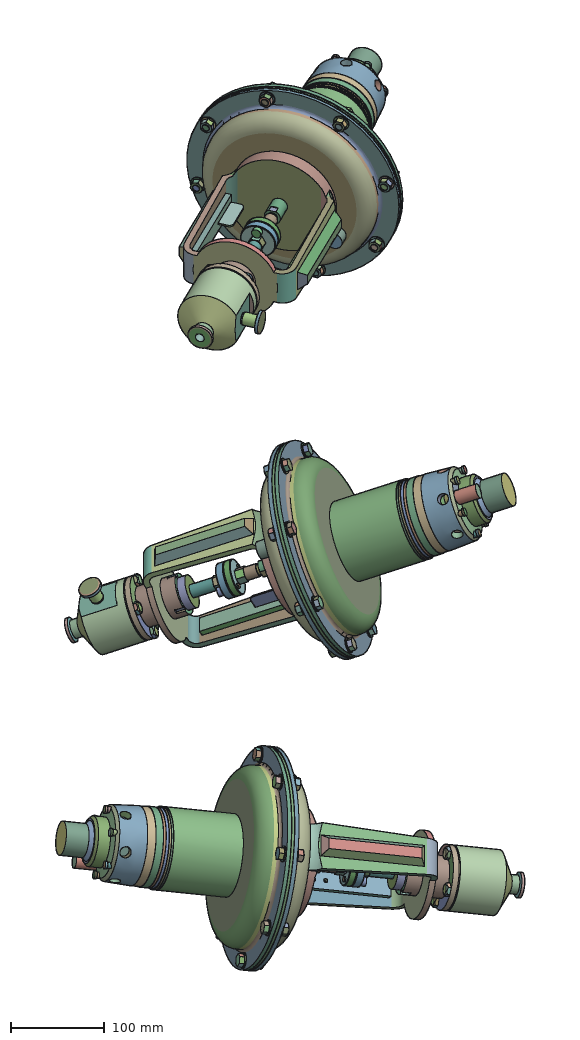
import cadquery as cq
import math


flange_radius = 120.65
flange_half_thickness = 6.35
joint_gap = 3.4
joint_gap_depth = 1.0
casing_radius = 99.0
casing_half_height = 31.3
dome_edge_radius = 17.0
flange_fillet = 3.4

bolt_count = 8
bolt_first_angle = 15.0
bolt_circle_radius = 110.7
bolt_hex_across_flats = 12.7
bolt_washer_radius = 8.6
bolt_washer_thickness = 1.3
bolt_head_height = 5.6
nut_height = 6.8
nut_chamfer = 0.8
bolt_end_radius = 4.0
bolt_end_length = 1.0

housing_radius = 45.0
housing_top_y = 109.5
seam_width = 2.4
seam_depth = 1.0
collar_height = 2.6
cap_base_radius = 43.7
cap_groove_y = 117.6
cap_groove_width = 3.0
cap_groove_depth = 0.6
cap_band_bottom_y = 129.0
cap_band_top_y = 138.4
cap_band_depth = 0.6
cap_taper_base_radius = 43.3
cap_top_radius = 41.5
cap_top_y = 172.8
cap_top_chamfer = 3.5
cap_top_rise = 2.2
cap_hole_radius = 6.1
cap_hole_depth = 8.0
cap_hole_count = 6
cap_hole_y = 161.0

hub_radius = 27.4
hub_top_y = 191.5
hub_edge_chamfer = 3.0
neck_foot_radius = 22.0
neck_radius = 18.5
neck_foot_y = 196.2
neck_top_y = 221.7
vent_radius = 8.0
vent_distance = 30.0
vent_top_y = 198.1
vent_angle = -30.0

cap_screw_count = 6
cap_screw_circle_radius = 36.0
cap_screw_head_radius = 4.4
cap_screw_head_height = 2.6
cap_screw_shank_radius = 3.5
cap_screw_grip = 3.0
cap_screw_top_y = 178.8

base_disc_radius = 59.0
base_face_y = -47.7
inlet_radius = 9.8
inlet_distance = 69.4
inlet_angle = -30.0
inlet_end_y = -44.3
leg_outer_x = 63.6
leg_inner_x = 57.0
leg_top_y = -36.5
leg_root_fillet = 17.0
leg_root_step = 0.8
leg_top_half_width = 26.0
leg_bottom_half_width = 19.6
yoke_plate_top_y = -178.8
yoke_plate_thickness = 6.8
yoke_plate_radius = 48.0
yoke_inner_corner = 9.4

rib_top_y = -49.9
rib_bottom_y = -166.5
rib_half_width = 11.8
rib_height = 9.6
rib_slope = 5.9
inner_rib_top_y = -59.8
inner_rib_bottom_y = -166.7
inner_rib_height = 6.6
inner_rib_half_width = 10.0
rib_hole_radius = 2.2
rib_hole_depth = 6.0
rib_hole_ys = (-79.5, -93.0, -111.7)

scale_top_y = -61.4
scale_length = 39.5
scale_reach = 16.0
scale_thickness = 2.0
scale_corner = 5.0

upper_stem_radius = 9.1
upper_stem_end_y = -70.1
wrench_flat_length = 6.8
wrench_flat_distance = 8.1
stem_neck_radius = 5.9
stem_neck_end_y = -73.7
stem_radius = 7.4
coupling_top_y = -97.9
coupling_joint_y = -106.1
coupling_bottom_y = -115.3
coupling_radius = 20.0
coupling_edge_chamfer = 0.8
locknut_across_corners = 18.2
upper_locknut_height = 10.1
lower_locknut_height = 9.0
coupling_screw_offset = 13.8
coupling_screw_head_radius = 5.3
coupling_screw_head_height = 5.4
coupling_screw_end_radius = 3.0
coupling_screw_end_length = 1.5

gland_radius = 18.5
gland_top_y = -151.9
bonnet_radius = 23.0
bonnet_top_y = -161.3
bonnet_slot_count = 3
bonnet_slot_angle = 30.0
bonnet_slot_width = 6.0
bonnet_slot_depth = 3.0
bonnet_slot_height = 10.0
valve_radius = 35.6
valve_top_y = -208.3
valve_groove_y = -214.9
valve_groove_width = 1.4
valve_groove_depth = 0.3
valve_flat_x = 30.9
valve_flat_top_y = -225.9
cone_top_y = -268.2
cone_end_y = -282.9
port_radius = 10.5
port_end_y = -296.51
ferrule_radius = 13.9
ferrule_thickness = 3.9
ferrule_back_slope = 1.2
ferrule_face_inset = 1.9
ferrule_face_height = 0.5
port_bore_radius = 5.0
port_bore_depth = 12.0
side_port_y = -248.3
side_port_radius = 7.3
side_port_end_x = 53.2
side_ferrule_radius = 12.8
side_port_neck_radius = 6.3
side_port_neck_length = 1.7
bonnet_screw_count = 4
bonnet_screw_first_angle = 45.0
bonnet_screw_circle_radius = 28.8
bonnet_screw_across_corners = 15.2
bonnet_screw_height = 4.9
bonnet_screw_chamfer = 2.0

yoke_plate_bottom_y = yoke_plate_top_y - yoke_plate_thickness


def around_axis(radius, degrees):
    """X and Z of a point on a circle about the stem axis."""
    angle = math.radians(degrees)
    return radius * math.cos(angle), radius * math.sin(angle)


def turned(points):
    """A solid turned about the stem axis from (radius, y) points."""
    return cq.Workplane("XY").polyline(points).close().revolve(360, (0, 0, 0), (0, 1, 0))


def rod(radius, y_start, y_end, x=0, z=0):
    """A round bar parallel to the stem axis."""
    start = cq.Vector(x, min(y_start, y_end), z)
    return cq.Workplane(cq.Solid.makeCylinder(radius, abs(y_end - y_start), start, cq.Vector(0, 1, 0)))


def ring(outer_radius, depth, y_low, y_high):
    """A ring that cuts a groove of the given depth into a turned surface."""
    return rod(outer_radius + depth, y_low, y_high).cut(rod(outer_radius - depth, y_low, y_high))


def hexagon(across_corners, y_start, y_end, x=0, z=0, turn=0):
    """A hexagonal bar parallel to the stem axis, with a corner at the given turn about its own axis."""
    corner_x, corner_z = around_axis(1, turn)
    plane = cq.Plane((x, min(y_start, y_end), z), xDir=(corner_x, 0, corner_z), normal=(0, 1, 0))
    return cq.Workplane(plane).polygon(6, across_corners).extrude(abs(y_end - y_start))


def chamfered_hexagon(across_corners, y_base, y_end, chamfer, x=0, z=0, turn=0):
    """A hexagonal nut or head whose corners are turned off at the y_end face."""
    envelope = rod(across_corners / 2, y_base, y_end, x, z)
    envelope = envelope.faces(">Y" if y_end > y_base else "<Y").chamfer(chamfer)
    return hexagon(across_corners, y_base, y_end, x, z, turn).intersect(envelope)


def casing():
    """The two domed casing halves with their bolted flange and the narrow gap at the joint."""
    straight_y = casing_half_height - dome_edge_radius
    dome_center_radius = casing_radius - dome_edge_radius
    diagonal = math.sqrt(0.5)
    half = (
        cq.Workplane("XY")
        .moveTo(0, 0)
        .lineTo(flange_radius, 0)
        .lineTo(flange_radius, flange_half_thickness)
        .lineTo(casing_radius + flange_fillet, flange_half_thickness)
        .threePointArc(
            (
                casing_radius + flange_fillet * (1 - diagonal),
                flange_half_thickness + flange_fillet * (1 - diagonal),
            ),
            (casing_radius, flange_half_thickness + flange_fillet),
        )
        .lineTo(casing_radius, straight_y)
        .threePointArc(
            (
                dome_center_radius + dome_edge_radius * diagonal,
                straight_y + dome_edge_radius * diagonal,
            ),
            (dome_center_radius, casing_half_height),
        )
        .lineTo(0, casing_half_height)
        .close()
        .revolve(360, (0, 0, 0), (0, 1, 0))
    )
    whole = half.union(half.mirror("XZ"))
    return whole.cut(ring(flange_radius, joint_gap_depth, -joint_gap / 2, joint_gap / 2))


def casing_bolt(degrees):
    """Bolt head above the flange and a chamfered nut below it, each on a washer."""
    x, z = around_axis(bolt_circle_radius, degrees)
    across_corners = bolt_hex_across_flats / math.cos(math.radians(30))
    washer_y = flange_half_thickness + bolt_washer_thickness
    nut_end_y = -washer_y - nut_height
    washers = rod(bolt_washer_radius, -washer_y, washer_y, x, z)
    head = hexagon(across_corners, washer_y, washer_y + bolt_head_height, x, z, degrees)
    nut = chamfered_hexagon(across_corners, -washer_y, nut_end_y, nut_chamfer, x, z, degrees)
    bolt_end = rod(bolt_end_radius, nut_end_y - bolt_end_length, -washer_y, x, z)
    return washers.union(head).union(nut).union(bolt_end)


def spring_housing():
    """The spring tube, its tapered cap with six radial holes, and the adjuster hub and neck."""
    seam_top_y = housing_top_y + seam_width
    collar_top_y = seam_top_y + collar_height
    body = turned(
        [
            (0, 0),
            (housing_radius, 0),
            (housing_radius, housing_top_y),
            (housing_radius - seam_depth, housing_top_y),
            (housing_radius - seam_depth, seam_top_y),
            (housing_radius, seam_top_y),
            (housing_radius, collar_top_y),
            (cap_base_radius, collar_top_y),
            (cap_base_radius, cap_band_bottom_y),
            (cap_base_radius - cap_band_depth, cap_band_bottom_y),
            (cap_base_radius - cap_band_depth, cap_band_top_y),
            (cap_taper_base_radius, cap_band_top_y),
            (cap_top_radius, cap_top_y - cap_top_chamfer),
            (cap_top_radius - cap_top_chamfer, cap_top_y),
            (hub_radius, cap_top_y + cap_top_rise),
            (hub_radius, hub_top_y - hub_edge_chamfer),
            (hub_radius - hub_edge_chamfer, hub_top_y),
            (neck_foot_radius, hub_top_y),
            (neck_radius, neck_foot_y),
            (neck_radius, neck_top_y),
            (0, neck_top_y),
        ]
    )
    body = body.cut(ring(cap_base_radius, cap_groove_depth, cap_groove_y, cap_groove_y + cap_groove_width))
    for index in range(cap_hole_count):
        x, z = around_axis(1, 90 + index * 360 / cap_hole_count)
        floor_radius = cap_top_radius - cap_hole_depth
        hole = cq.Solid.makeCylinder(
            cap_hole_radius,
            2 * cap_hole_depth,
            cq.Vector(floor_radius * x, cap_hole_y, floor_radius * z),
            cq.Vector(x, 0, z),
        )
        body = body.cut(cq.Workplane(hole))
    vent_x, vent_z = around_axis(vent_distance, vent_angle)
    return body.union(rod(vent_radius, cap_hole_y, vent_top_y, vent_x, vent_z))


def cap_screw(degrees):
    x, z = around_axis(cap_screw_circle_radius, degrees)
    head_y = cap_screw_top_y - cap_screw_head_height
    shank = rod(cap_screw_shank_radius, cap_top_y - cap_screw_grip, head_y, x, z)
    return shank.union(rod(cap_screw_head_radius, head_y, cap_screw_top_y, x, z))


def yoke_frame():
    """The U-shaped yoke: tapering legs joined by a round plate, rounded at every inner corner."""
    outer_corner = yoke_inner_corner + leg_outer_x - leg_inner_x
    center_y = (base_face_y + yoke_plate_top_y) / 2
    outline = (
        cq.Workplane("XY")
        .rect(2 * leg_outer_x, leg_top_y - yoke_plate_bottom_y)
        .extrude(base_disc_radius, both=True)
        .translate((0, (leg_top_y + yoke_plate_bottom_y) / 2, 0))
    )
    outline = outline.faces("<Y").edges("|Z").fillet(outer_corner)
    window = (
        cq.Workplane("XY")
        .rect(2 * leg_inner_x, base_face_y - yoke_plate_top_y)
        .extrude(base_disc_radius, both=True)
        .edges("|Z")
        .fillet(yoke_inner_corner)
        .translate((0, center_y, 0))
    )
    taper = (
        cq.Workplane("YZ")
        .polyline(
            [
                (leg_top_y, -leg_top_half_width),
                (base_face_y, -leg_top_half_width),
                (yoke_plate_bottom_y, -leg_bottom_half_width),
                (yoke_plate_bottom_y, leg_bottom_half_width),
                (base_face_y, leg_top_half_width),
                (leg_top_y, leg_top_half_width),
            ]
        )
        .close()
        .extrude(leg_outer_x, both=True)
    )
    corner_limit = rod(base_disc_radius, leg_top_y, base_face_y - yoke_inner_corner)
    frame = outline.cut(window).intersect(taper.union(corner_limit)).intersect(leg_root_envelope())
    return frame.union(rod(yoke_plate_radius, yoke_plate_bottom_y, yoke_plate_top_y))


def leg_root_envelope():
    """A space that flares outward from the base disc, so the leg tops sweep into the disc."""
    root_radius = base_disc_radius + leg_root_step
    flare_radius = root_radius + leg_root_fillet
    arc_drop = leg_root_fillet * math.sqrt(0.5)
    return (
        cq.Workplane("XY")
        .moveTo(0, leg_top_y)
        .lineTo(root_radius, leg_top_y)
        .threePointArc(
            (flare_radius - arc_drop, leg_top_y - arc_drop),
            (flare_radius, leg_top_y - leg_root_fillet),
        )
        .lineTo(flare_radius, yoke_plate_bottom_y)
        .lineTo(0, yoke_plate_bottom_y)
        .close()
        .revolve(360, (0, 0, 0), (0, 1, 0))
    )


def outer_rib():
    """The bevelled rib on the outside of the right-hand leg."""
    length = rib_top_y - rib_bottom_y
    center_y = (rib_top_y + rib_bottom_y) / 2
    return (
        cq.Workplane("YZ", origin=(leg_outer_x, center_y, 0))
        .rect(length, 2 * rib_half_width)
        .workplane(offset=rib_height)
        .rect(length - 2 * rib_slope, 2 * (rib_half_width - rib_slope))
        .loft()
    )


def inner_rib():
    """The plain rib on the inside of the right-hand leg."""
    return cq.Workplane("XY").box(
        inner_rib_height, inner_rib_top_y - inner_rib_bottom_y, 2 * inner_rib_half_width
    ).translate((leg_inner_x - inner_rib_height / 2, (inner_rib_top_y + inner_rib_bottom_y) / 2, 0))


def travel_scale():
    """The thin plate that stands on the inner rib of the left-hand leg."""
    rib_face_x = inner_rib_height - leg_inner_x
    return (
        cq.Workplane("XY")
        .box(scale_reach, scale_length, scale_thickness)
        .edges("|Z and >X")
        .fillet(scale_corner)
        .translate((rib_face_x + scale_reach / 2, scale_top_y - scale_length / 2, 0))
    )


def upper_stem():
    """The actuator stem with its wrench flats, locknut and the upper half of the coupling."""
    stem = rod(upper_stem_radius, base_face_y, upper_stem_end_y)
    flat_cut = (
        cq.Workplane("XY")
        .box(2 * upper_stem_radius, wrench_flat_length, upper_stem_radius)
        .translate(
            (0, upper_stem_end_y + wrench_flat_length / 2, wrench_flat_distance + upper_stem_radius / 2)
        )
    )
    stem = stem.cut(flat_cut).cut(flat_cut.mirror("XY"))
    stem = stem.union(rod(stem_neck_radius, upper_stem_end_y, stem_neck_end_y))
    stem = stem.union(rod(stem_radius, stem_neck_end_y, coupling_top_y))
    stem = stem.union(hexagon(locknut_across_corners, coupling_top_y, coupling_top_y + upper_locknut_height))
    stem = stem.union(coupling_half(coupling_joint_y, coupling_top_y))
    for side in (-1, 1):
        end_y = coupling_top_y + coupling_screw_end_length
        stem = stem.union(
            rod(coupling_screw_end_radius, coupling_top_y, end_y, z=side * coupling_screw_offset)
        )
    return stem


def coupling_half(y_low, y_high):
    return rod(coupling_radius, y_low, y_high).edges().chamfer(coupling_edge_chamfer)


def actuator():
    body = casing().union(spring_housing())
    for index in range(bolt_count):
        body = body.union(casing_bolt(bolt_first_angle + index * 360 / bolt_count))
    for index in range(cap_screw_count):
        body = body.union(cap_screw(index * 360 / cap_screw_count))

    inlet_x, inlet_z = around_axis(inlet_distance, inlet_angle)
    body = body.union(rod(base_disc_radius, base_face_y, 0))
    body = body.union(rod(inlet_radius, inlet_end_y, 0, inlet_x, inlet_z))
    body = body.union(yoke_frame())
    for rib in (outer_rib(), inner_rib()):
        body = body.union(rib).union(rib.mirror("YZ"))
    for hole_y in rib_hole_ys:
        start = cq.Vector(leg_inner_x - inner_rib_height, hole_y, 0)
        hole = cq.Solid.makeCylinder(rib_hole_radius, rib_hole_depth, start, cq.Vector(1, 0, 0))
        body = body.cut(cq.Workplane(hole))
    body = body.union(travel_scale()).union(upper_stem())
    return body.cut(rod(bonnet_radius, yoke_plate_bottom_y, yoke_plate_top_y))


def bonnet():
    """The gland and the slotted bonnet barrel that passes through the yoke plate."""
    barrel = rod(bonnet_radius, bonnet_top_y, valve_top_y)
    for index in range(bonnet_slot_count):
        slot = (
            cq.Workplane("XY")
            .box(2 * bonnet_slot_depth, bonnet_slot_height, bonnet_slot_width)
            .translate((bonnet_radius, bonnet_top_y - bonnet_slot_height / 2, 0))
            .rotate((0, 0, 0), (0, 1, 0), -bonnet_slot_angle - index * 360 / bonnet_slot_count)
        )
        barrel = barrel.cut(slot)
    return barrel.union(rod(gland_radius, gland_top_y, bonnet_top_y))


def bonnet_screw(degrees):
    x, z = around_axis(bonnet_screw_circle_radius, degrees)
    top_y = valve_top_y + bonnet_screw_height
    return chamfered_hexagon(bonnet_screw_across_corners, valve_top_y, top_y, bonnet_screw_chamfer, x, z)


def valve_shell():
    """Cylindrical valve body with a coned end, a side flat and two clamp-ferrule ports."""
    shell = turned(
        [
            (0, valve_top_y),
            (valve_radius, valve_top_y),
            (valve_radius, cone_top_y),
            (port_radius, cone_end_y),
            (0, cone_end_y),
        ]
    )
    groove_low_y = valve_groove_y - valve_groove_width
    shell = shell.cut(ring(valve_radius, valve_groove_depth, groove_low_y, valve_groove_y))
    flat_length = valve_flat_top_y - port_end_y
    flat_cut = (
        cq.Workplane("XY")
        .box(valve_radius, flat_length, 2 * valve_radius)
        .translate((valve_flat_x + valve_radius / 2, valve_flat_top_y - flat_length / 2, 0))
    )
    shell = shell.cut(flat_cut)

    end_port = ferrule_port(port_radius, ferrule_radius, cone_end_y - port_end_y)
    side_port = ferrule_port(side_port_radius, side_ferrule_radius, side_port_end_x - valve_flat_x)
    side_port = side_port.cut(
        ring(side_port_radius, side_port_radius - side_port_neck_radius, -side_port_neck_length, 0)
    )
    side_port = side_port.rotate((0, 0, 0), (0, 0, 1), 90)
    shell = shell.union(end_port.translate((0, cone_end_y, 0)))
    shell = shell.union(side_port.translate((valve_flat_x, side_port_y, 0)))
    shell = shell.cut(rod(port_bore_radius, port_end_y, port_end_y + port_bore_depth))
    return shell


def ferrule_port(tube_radius, rim_radius, length):
    """A tube along -Y that ends in a rim with a sloped back."""
    rim_y = ferrule_thickness - length
    return turned(
        [
            (0, 0),
            (tube_radius, 0),
            (tube_radius, rim_y + ferrule_back_slope),
            (rim_radius, rim_y),
            (rim_radius, ferrule_face_height - length),
            (rim_radius - ferrule_face_inset, -length),
            (0, -length),
        ]
    )


def valve():
    body = bonnet().union(valve_shell())
    for index in range(bonnet_screw_count):
        body = body.union(bonnet_screw(bonnet_screw_first_angle + index * 360 / bonnet_screw_count))
    body = body.union(rod(stem_radius, coupling_bottom_y, gland_top_y))
    body = body.union(
        hexagon(locknut_across_corners, coupling_bottom_y - lower_locknut_height, coupling_bottom_y)
    )
    for side in (-1, 1):
        head_y = coupling_bottom_y - coupling_screw_head_height
        body = body.union(
            rod(coupling_screw_head_radius, head_y, coupling_bottom_y, z=side * coupling_screw_offset)
        )
    return body.union(coupling_half(coupling_bottom_y, coupling_joint_y))


result = cq.Compound.makeCompound([actuator().val(), valve().val()])